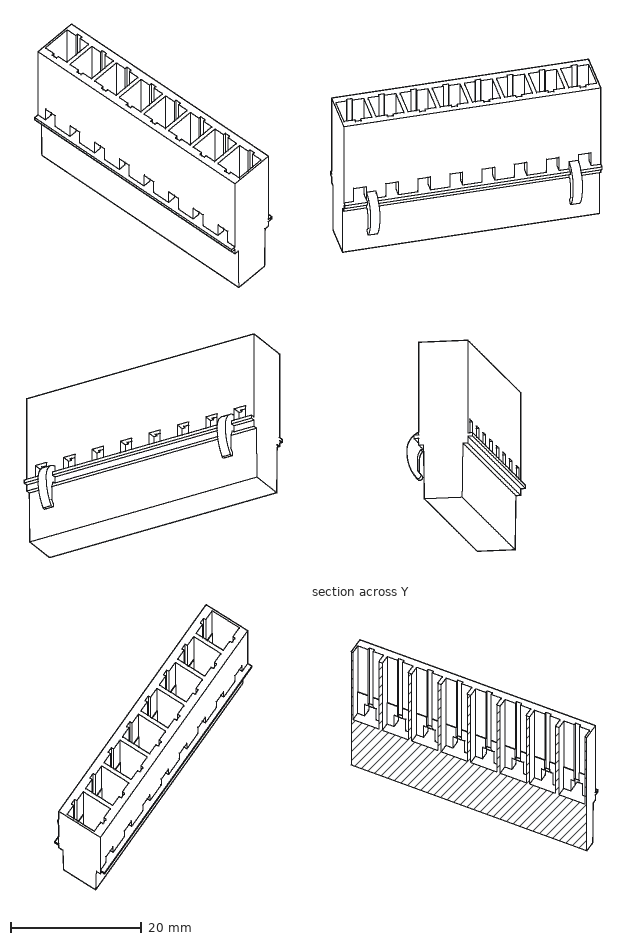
import cadquery as cq

length = 40.65
height = 24.55
upper_depth = 7.7
plug_height = 8.45
plug_depth_top = 6.18
plug_depth_bottom = 5.95

flange_depth = 9.2
flange_bottom = 9.5
flange_top = 10.05

cell_count = 8
cell_pitch = length / cell_count
cell_width = 4.45
cell_depth = 5.0
back_ledge_width = 0.1
back_ledge_top = 14.65
groove_width = 0.9
groove_depth = 0.4
window_width = 2.0
window_height = 2.45

latch_width = 1.45
latch_spacing = 32.02
latch_outer_y = 6.42
latch_root_y = upper_depth / 2
latch_inner_y = 4.75
latch_top = 11.4
latch_shoulder = 8.65
latch_straight_end = 8.13
latch_inner_top = 7.1

latch_crown = (5.53, 10.55)
barb_outer = (4.9, 4.02)
barb_tip = (4.45, 4.02)
barb_inner = (4.25, 4.6)
barb_base = (latch_inner_y, 5.2)
latch_armpit = (4.6, 7.85)
latch_armpit_end = (4.23, plug_height)


def extrude_along_x(profile, width):
    """Extrude a YZ profile symmetrically about the X = 0 plane."""
    return profile.close().extrude(width / 2, both=True)


def make_box(size_x, size_y, bottom, top):
    """Box centred on the Z axis between two heights."""
    box = cq.Workplane("XY").box(size_x, size_y, top - bottom, centered=(True, True, False))
    return box.translate((0, 0, bottom))


def make_plug():
    profile = (
        cq.Workplane("YZ")
        .moveTo(-plug_depth_bottom / 2, 0)
        .lineTo(plug_depth_bottom / 2, 0)
        .lineTo(plug_depth_top / 2, plug_height)
        .lineTo(-plug_depth_top / 2, plug_height)
    )
    return extrude_along_x(profile, length)


def make_latch():
    """Curved hook that leaves the back face, bends down and ends in a rounded barb."""
    profile = (
        cq.Workplane("YZ")
        .moveTo(0, plug_height)
        .lineTo(0, latch_top)
        .lineTo(latch_root_y, latch_top)
        .threePointArc(latch_crown, (latch_outer_y, latch_shoulder))
        .lineTo(latch_outer_y, latch_straight_end)
        .tangentArcPoint(barb_outer, relative=False)
        .threePointArc(barb_tip, barb_inner)
        .lineTo(*barb_base)
        .lineTo(latch_inner_y, latch_inner_top)
        .threePointArc(latch_armpit, latch_armpit_end)
    )
    return extrude_along_x(profile, latch_width)


def make_cell_cutter():
    """Cell with a shallow ledge low on its back wall, two key grooves and a window through both walls."""
    half_depth = cell_depth / 2
    profile = (
        cq.Workplane("YZ")
        .moveTo(-half_depth, flange_top)
        .lineTo(half_depth - back_ledge_width, flange_top)
        .lineTo(half_depth - back_ledge_width, back_ledge_top)
        .lineTo(half_depth, back_ledge_top)
        .lineTo(half_depth, height)
        .lineTo(-half_depth, height)
    )
    cell = extrude_along_x(profile, cell_width)
    grooves = make_box(groove_width, cell_depth + 2 * groove_depth, flange_top, height)
    window = make_box(window_width, flange_depth, flange_top, flange_top + window_height)
    return cell.union(grooves).union(window)


result = make_plug()
result = result.union(make_box(length, upper_depth, plug_height, height))
result = result.union(make_box(length, flange_depth, flange_bottom, flange_top))

latch = make_latch()
for side in (-1, 1):
    result = result.union(latch.translate((side * latch_spacing / 2, 0, 0)))

cell_cutter = make_cell_cutter()
for index in range(cell_count):
    cell_x = (index - (cell_count - 1) / 2) * cell_pitch
    result = result.cut(cell_cutter.translate((cell_x, 0, 0)))